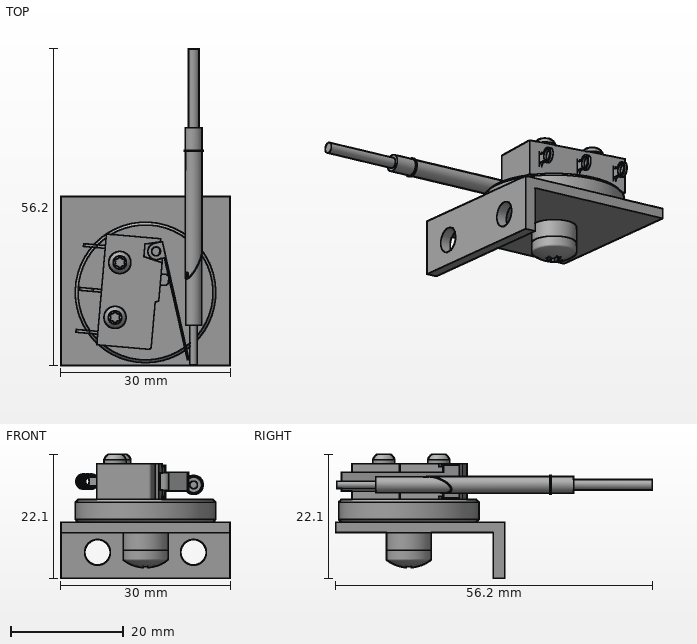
import cadquery as cq
import math


plate_side = 30.0
plate_front_y = -13.0
plate_thickness = 1.85
leg_thickness = 2.1
leg_height = 9.95
mount_hole_diameter = 4.5
mount_hole_spacing = 17.05
mount_hole_z = -5.35

disc_radius = 12.5
disc_thickness = 4.05
disc_chamfer = 0.5
stud_radius = 4.0
stud_bottom_z = -4.95
cap_rim_z = -6.7
cap_bottom_z = -8.1
cap_rim_round = 0.3
cross_width = 0.85
cross_length = 2.9
cross_depth = 0.85

switch_turn = -5.0
housing_left_u = -7.8
housing_right_u = 2.5
housing_step = 0.6
housing_front_v = -10.0
housing_back_v = 9.7
step_top_v = -1.3
step_run = 0.3
hinge_recess_v = 6.3
corner_round = 0.45
housing_height = 6.35

button_v = 2.55
button_width = 1.95
button_reach = 1.4
button_height = 3.05
button_round = 0.6

terminal_vs = [7.4, -0.4, -7.85]
terminal_tip_u = -11.7
terminal_thickness = 0.5
eye_radius = 1.35
eye_hole_radius = 1.0
neck_half_height = 0.8

pin_u = 1.25
pin_v = 7.4
pin_radius = 0.8
ear_radius = 1.45
ear_inset = 0.3
sheet_thickness = 0.3
lever_turn = 17.7
blade_length = 20.0
blade_width = 3.4
pocket_depth = ear_inset + sheet_thickness
pocket_left_u = -0.85
pocket_left_half_width = 1.1
pocket_right_half_width = 1.9

screw_u = -5.0
screw_spacing = 9.8
head_radius = 1.95
head_rim_height = 0.7
head_height = 1.7
head_flat_radius = 1.2
head_shoulder_radius = 1.7
head_shoulder_height = 1.25
socket_radius = 0.8
lobe_radius = 0.2
lobe_count = 6
first_lobe_angle = 90
socket_depth = 0.85

cable_x = 8.55
cable_z = 6.65
wire_radius = 0.95
wire_end_y = 43.2
collar_radius = 1.5
collar_end_y = 29.2
flange_radius = 1.7
flange_thickness = 0.2
sleeve_end_y = 25.0
rod_radius = 1.4
rod_end_y = -5.85
tip_radius = 0.7
tip_end_y = -12.8
sleeve_radius = 1.5
sleeve_point_y = 2.35
sleeve_turn = 33.0
bevel_angle = 60.0
pinhole_radius = 0.35
pinhole_y = 3.2

housing_top_z = disc_thickness + housing_height
housing_mid_z = disc_thickness + housing_height / 2
recessed_right_u = housing_right_u - housing_step
ear_span = housing_height - 2 * ear_inset


def cylinder_z(radius, bottom, top):
    return cq.Workplane("XY", origin=(0, 0, bottom)).circle(radius).extrude(top - bottom)


def turn_with_switch(body):
    return body.rotate((0, 0, 0), (0, 0, 1), switch_turn)


def make_bracket():
    back_y = plate_front_y + plate_side
    leg_y = back_y - leg_thickness
    bracket = (
        cq.Workplane("YZ", origin=(-plate_side / 2, 0, 0))
        .moveTo(plate_front_y, 0)
        .lineTo(back_y, 0)
        .lineTo(back_y, -leg_height)
        .lineTo(leg_y, -leg_height)
        .lineTo(leg_y, -plate_thickness)
        .lineTo(plate_front_y, -plate_thickness)
        .close()
        .extrude(plate_side)
    )
    holes = (
        cq.Workplane("XZ", origin=(0, back_y, mount_hole_z))
        .pushPoints([(-mount_hole_spacing / 2, 0), (mount_hole_spacing / 2, 0)])
        .circle(mount_hole_diameter / 2)
        .extrude(leg_thickness)
    )
    return bracket.cut(holes)


def make_disc():
    return turn_with_switch(cylinder_z(disc_radius, 0, disc_thickness).edges().chamfer(disc_chamfer))


def make_stud():
    return cylinder_z(stud_radius, stud_bottom_z, -plate_thickness)


def make_cap():
    dome_height = cap_rim_z - cap_bottom_z
    dome_radius = (stud_radius**2 + dome_height**2) / (2 * dome_height)
    half_angle = math.asin(stud_radius / dome_radius) / 2
    rim = cq.selectors.NearestToPointSelector((0, 0, cap_rim_z))
    arc_middle = (
        dome_radius * math.sin(half_angle),
        cap_bottom_z + dome_radius * (1 - math.cos(half_angle)),
    )
    cap = (
        cq.Workplane("XZ")
        .moveTo(0, stud_bottom_z)
        .lineTo(stud_radius, stud_bottom_z)
        .lineTo(stud_radius, cap_rim_z)
        .threePointArc(arc_middle, (0, cap_bottom_z))
        .close()
        .revolve(360, (0, 0, 0), (0, 1, 0))
        .edges(rim)
        .fillet(cap_rim_round)
    )
    for slot_x, slot_y in ((cross_length, cross_width), (cross_width, cross_length)):
        slot = cq.Workplane("XY", origin=(0, 0, cap_bottom_z)).rect(slot_x, slot_y).extrude(cross_depth)
        cap = cap.cut(slot)
    return cap


def make_housing_block():
    right_corner = cq.selectors.NearestToPointSelector((recessed_right_u, housing_front_v, housing_mid_z))
    return (
        cq.Workplane("XY", origin=(0, 0, disc_thickness))
        .moveTo(housing_left_u, housing_front_v)
        .lineTo(recessed_right_u, housing_front_v)
        .lineTo(recessed_right_u, step_top_v - step_run)
        .lineTo(housing_right_u, step_top_v)
        .lineTo(housing_right_u, hinge_recess_v)
        .lineTo(recessed_right_u, hinge_recess_v)
        .lineTo(recessed_right_u, housing_back_v)
        .lineTo(housing_left_u, housing_back_v)
        .close()
        .extrude(housing_height)
        .edges(right_corner)
        .fillet(corner_round)
    )


def make_hinge_pocket(bottom_z):
    pocket = (
        cq.Workplane("XY", origin=(0, 0, bottom_z))
        .moveTo(pocket_left_u, pin_v - pocket_left_half_width)
        .lineTo(housing_right_u, pin_v - pocket_right_half_width)
        .lineTo(housing_right_u, pin_v + pocket_right_half_width)
        .lineTo(pocket_left_u, pin_v + pocket_left_half_width)
        .close()
        .extrude(pocket_depth)
    )
    pin = cylinder_z(pin_radius, bottom_z, bottom_z + pocket_depth).translate((pin_u, pin_v, 0))
    return pocket.cut(pin)


def make_button():
    return (
        cq.Workplane("XY")
        .box(button_reach, button_width, button_height)
        .edges("|Z and >X")
        .fillet(button_round)
        .translate((housing_right_u + button_reach / 2, button_v, housing_mid_z))
    )


def make_terminal(v):
    eye_u = terminal_tip_u + eye_radius
    flare = eye_radius - neck_half_height
    flare_diagonal = flare * math.sqrt(0.5)
    flare_u = housing_left_u - flare
    arc_u = flare_u + flare_diagonal
    arc_height = eye_radius - flare_diagonal
    plane = cq.Workplane("XZ", origin=(0, v + terminal_thickness / 2, housing_mid_z))
    neck = (
        plane.moveTo(eye_u, -neck_half_height)
        .lineTo(flare_u, -neck_half_height)
        .threePointArc((arc_u, -arc_height), (housing_left_u, -eye_radius))
        .lineTo(housing_left_u, eye_radius)
        .threePointArc((arc_u, arc_height), (flare_u, neck_half_height))
        .lineTo(eye_u, neck_half_height)
        .close()
        .extrude(terminal_thickness)
    )
    eye = plane.center(eye_u, 0).circle(eye_radius).extrude(terminal_thickness)
    hole = plane.center(eye_u, 0).circle(eye_hole_radius).extrude(terminal_thickness)
    return neck.union(eye).cut(hole)


def make_switch():
    switch = make_housing_block()
    for bottom_z in (disc_thickness, housing_top_z - pocket_depth):
        switch = switch.cut(make_hinge_pocket(bottom_z))
    switch = switch.union(make_button())
    for v in terminal_vs:
        switch = switch.union(make_terminal(v))
    return turn_with_switch(switch)


def make_lever():
    web_x = ear_radius - sheet_thickness
    ear_bottoms = (housing_mid_z - ear_span / 2, housing_mid_z + ear_span / 2 - sheet_thickness)
    lever = (
        cq.Workplane("XY")
        .box(sheet_thickness, 2 * ear_radius, ear_span, centered=(False, True, True))
        .translate((web_x, 0, housing_mid_z))
    )
    blade = (
        cq.Workplane("XY")
        .box(sheet_thickness, blade_length, blade_width, centered=(False, False, True))
        .translate((web_x, -blade_length, housing_mid_z))
    )
    lever = lever.union(blade)
    for bottom_z in ear_bottoms:
        ear = (
            cq.Workplane("XY", origin=(0, 0, bottom_z))
            .moveTo(ear_radius, -ear_radius)
            .lineTo(0, -ear_radius)
            .threePointArc((-ear_radius, 0), (0, ear_radius))
            .lineTo(ear_radius, ear_radius)
            .close()
            .extrude(sheet_thickness)
        )
        lever = lever.union(ear).cut(cylinder_z(pin_radius, bottom_z, bottom_z + sheet_thickness))
    lever = lever.rotate((0, 0, 0), (0, 0, 1), lever_turn).translate((pin_u, pin_v, 0))
    return turn_with_switch(lever)


def make_screw(v):
    head = (
        cq.Workplane("XZ")
        .lineTo(head_radius, 0)
        .lineTo(head_radius, head_rim_height)
        .threePointArc((head_shoulder_radius, head_shoulder_height), (head_flat_radius, head_height))
        .lineTo(0, head_height)
        .close()
        .revolve(360, (0, 0, 0), (0, 1, 0))
    )
    socket_bottom = head_height - socket_depth
    socket = cylinder_z(socket_radius, socket_bottom, head_height)
    lobes = (
        cq.Workplane("XY", origin=(0, 0, socket_bottom))
        .polarArray(socket_radius, first_lobe_angle, 360, lobe_count)
        .circle(lobe_radius)
        .extrude(socket_depth)
    )
    angle = math.radians(switch_turn)
    x = screw_u * math.cos(angle) - v * math.sin(angle)
    y = screw_u * math.sin(angle) + v * math.cos(angle)
    return head.cut(socket.union(lobes)).translate((x, y, housing_top_z))


def cylinder_y(radius, start_y, end_y):
    return cq.Workplane("XZ", origin=(0, start_y, 0)).circle(radius).extrude(start_y - end_y)


def make_cable():
    flange_end_y = sleeve_end_y + flange_thickness
    return (
        cylinder_y(tip_radius, tip_end_y, rod_end_y)
        .union(cylinder_y(rod_radius, rod_end_y, sleeve_end_y))
        .union(cylinder_y(flange_radius, sleeve_end_y, flange_end_y))
        .union(cylinder_y(collar_radius, flange_end_y, collar_end_y))
        .union(cylinder_y(wire_radius, collar_end_y, wire_end_y))
        .translate((cable_x, 0, cable_z))
    )


def make_sleeve():
    bevel_rise = 2 * sleeve_radius * math.tan(math.radians(bevel_angle))
    tube = cylinder_y(sleeve_radius, sleeve_point_y, sleeve_end_y)
    bore = cylinder_y(rod_radius, sleeve_point_y, sleeve_end_y)
    bevel = (
        cq.Workplane("XY", origin=(0, 0, -sleeve_radius))
        .moveTo(-sleeve_radius, sleeve_point_y)
        .lineTo(sleeve_radius, sleeve_point_y)
        .lineTo(sleeve_radius, sleeve_point_y + bevel_rise)
        .close()
        .extrude(2 * sleeve_radius)
    )
    pinhole = (
        cq.Workplane("YZ", origin=(-sleeve_radius, 0, 0))
        .center(pinhole_y, 0)
        .circle(pinhole_radius)
        .extrude(sleeve_radius)
    )
    sleeve = tube.cut(bore).cut(bevel).cut(pinhole)
    return sleeve.rotate((0, 0, 0), (0, 1, 0), sleeve_turn).translate((cable_x, 0, cable_z))


bracket = make_bracket()
disc = make_disc()
stud = make_stud()
cap = make_cap()
switch = make_switch()
lever = make_lever()
screws = [make_screw(side * screw_spacing / 2) for side in (1, -1)]
cable = make_cable()
sleeve = make_sleeve()

bodies = [bracket, disc, stud, cap, switch, lever, *screws, cable, sleeve]
result = cq.Compound.makeCompound([body.solids().val() for body in bodies])